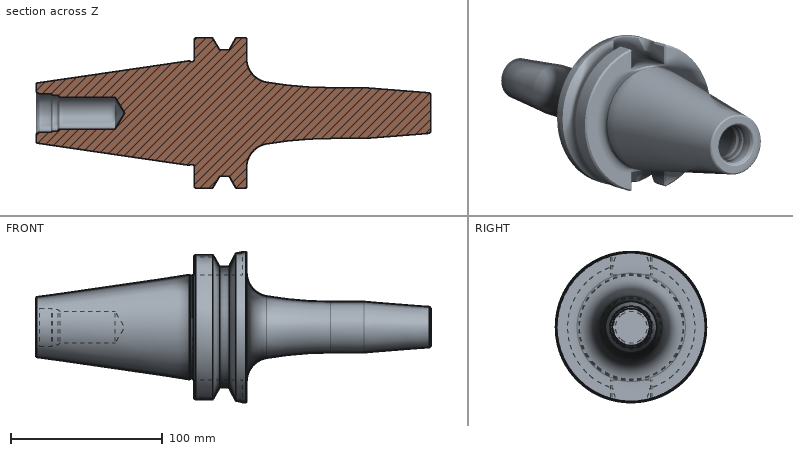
import cadquery as cq
import math

LENGTH = 261.8

GAUGE_X = 101.8
GAUGE_RADIUS = 34.8
TAPER_SLOPE = 7 / 24 / 2
SHANK_END_X = 101.5
SHANK_CHAMFER = 0.8
NECK_RADIUS = 34.3
NECK_FILLET = 1.0
NECK_STEP = 0.8

FLANGE_RADIUS = 50.0
FLANGE_FRONT_X = 104.7
FLANGE_BACK_X = 139.8
FLANGE_CHAMFER = 1.0
FLANGE_BACK_CHAMFER = 0.8
GROOVE_FLOOR_RADIUS = 42.1
GROOVE_START_X = 117.0
GROOVE_FLOOR_START_X = 121.7
GROOVE_FLOOR_END_X = 128.0
GROOVE_END_X = 132.5

ROOT_RADIUS = 15.5
FLARE_RADIUS = 250.0
CYLINDER_RADIUS = 17.0
CYLINDER_START_X = 195.0
CYLINDER_END_X = 217.3
TIP_RADIUS = 13.5
TIP_CHAMFER = 1.3

SLOT_WIDTH = 25.7
SLOT_FLOOR_Z = 34.8
SLOT_END_X = 136.7
SLOT_MOUTH_CHAMFER = 1.0
SLOT_RIM_CHAMFER = 1.3
SLOT_END_CHAMFER = 0.8

MOUTH_RADIUS = 14.5
MOUTH_STEP_RADIUS = 13.5
MOUTH_STEP_DEPTH = 0.5
MOUTH_DEPTH = 2.4
COUNTERBORE_RADIUS = 12.5
COUNTERBORE_DEPTH = 10.2
RELIEF_RADIUS = 11.8
RELIEF_START_X = 11.0
RELIEF_END_X = 14.5
THREAD_RADIUS = 10.5
THREAD_START_X = 15.7
THREAD_DEPTH = 52.4
DRILL_POINT_ANGLE = 118


def taper_radius(x):
    return GAUGE_RADIUS + (x - GAUGE_X) * TAPER_SLOPE


def revolve_about_x(profile):
    return profile.close().revolve(360, (0, 0, 0), (1, 0, 0))


def arc_point(center, radius, angle):
    return (center[0] + radius * math.cos(angle), center[1] + radius * math.sin(angle))


def make_body():
    down = -math.pi / 2
    flare_center = (CYLINDER_START_X, CYLINDER_RADIUS + FLARE_RADIUS)
    center_distance = FLARE_RADIUS - ROOT_RADIUS
    flare_sweep = math.asin((CYLINDER_START_X - FLANGE_BACK_X - ROOT_RADIUS) / center_distance)
    join_angle = down - flare_sweep
    root_center = arc_point(flare_center, center_distance, join_angle)
    root_middle = arc_point(root_center, ROOT_RADIUS, (join_angle - math.pi) / 2)
    join = arc_point(flare_center, FLARE_RADIUS, join_angle)
    flare_middle = arc_point(flare_center, FLARE_RADIUS, down - flare_sweep / 2)

    profile = (
        cq.Workplane("XY")
        .moveTo(0, 0)
        .lineTo(0, taper_radius(0) - SHANK_CHAMFER)
        .lineTo(SHANK_CHAMFER, taper_radius(SHANK_CHAMFER))
        .lineTo(SHANK_END_X, taper_radius(SHANK_END_X))
        .lineTo(SHANK_END_X + NECK_STEP, NECK_RADIUS)
        .lineTo(FLANGE_FRONT_X - NECK_FILLET, NECK_RADIUS)
        .tangentArcPoint((NECK_FILLET, NECK_FILLET))
        .lineTo(FLANGE_FRONT_X, FLANGE_RADIUS - FLANGE_CHAMFER)
        .lineTo(FLANGE_FRONT_X + FLANGE_CHAMFER, FLANGE_RADIUS)
        .lineTo(GROOVE_START_X, FLANGE_RADIUS)
        .lineTo(GROOVE_FLOOR_START_X, GROOVE_FLOOR_RADIUS)
        .lineTo(GROOVE_FLOOR_END_X, GROOVE_FLOOR_RADIUS)
        .lineTo(GROOVE_END_X, FLANGE_RADIUS)
        .lineTo(FLANGE_BACK_X - FLANGE_BACK_CHAMFER, FLANGE_RADIUS)
        .lineTo(FLANGE_BACK_X, FLANGE_RADIUS - FLANGE_BACK_CHAMFER)
        .lineTo(FLANGE_BACK_X, root_center[1])
        .threePointArc(root_middle, join)
        .threePointArc(flare_middle, (CYLINDER_START_X, CYLINDER_RADIUS))
        .lineTo(CYLINDER_END_X, CYLINDER_RADIUS)
        .lineTo(LENGTH - TIP_CHAMFER, TIP_RADIUS)
        .lineTo(LENGTH, TIP_RADIUS - TIP_CHAMFER)
        .lineTo(LENGTH, 0)
    )
    return revolve_about_x(profile)


def make_bore():
    point_depth = THREAD_RADIUS / math.tan(math.radians(DRILL_POINT_ANGLE / 2))
    profile = (
        cq.Workplane("XY")
        .moveTo(0, 0)
        .lineTo(0, MOUTH_RADIUS)
        .lineTo(MOUTH_STEP_DEPTH, MOUTH_STEP_RADIUS)
        .lineTo(MOUTH_DEPTH, COUNTERBORE_RADIUS)
        .lineTo(COUNTERBORE_DEPTH, COUNTERBORE_RADIUS)
        .lineTo(RELIEF_START_X, RELIEF_RADIUS)
        .lineTo(RELIEF_END_X, RELIEF_RADIUS)
        .lineTo(THREAD_START_X, THREAD_RADIUS)
        .lineTo(THREAD_DEPTH, THREAD_RADIUS)
        .lineTo(THREAD_DEPTH + point_depth, 0)
    )
    return revolve_about_x(profile)


def make_slot():
    half_width = SLOT_WIDTH / 2
    arc_start_x = SLOT_END_X - half_width
    mouth_half = half_width + SLOT_MOUTH_CHAMFER
    slot = (
        cq.Workplane("XY")
        .workplane(offset=SLOT_FLOOR_Z)
        .moveTo(FLANGE_FRONT_X, -mouth_half)
        .lineTo(FLANGE_FRONT_X + SLOT_MOUTH_CHAMFER, -half_width)
        .lineTo(arc_start_x, -half_width)
        .threePointArc((SLOT_END_X, 0), (arc_start_x, half_width))
        .lineTo(FLANGE_FRONT_X + SLOT_MOUTH_CHAMFER, half_width)
        .lineTo(FLANGE_FRONT_X, mouth_half)
        .close()
        .extrude(FLANGE_RADIUS - SLOT_FLOOR_Z)
    )
    rim_half = half_width + SLOT_RIM_CHAMFER
    rim_z = math.sqrt(FLANGE_RADIUS**2 - rim_half**2)
    land_chamfer = (
        cq.Workplane("YZ")
        .workplane(offset=FLANGE_FRONT_X)
        .moveTo(-half_width, rim_z - SLOT_RIM_CHAMFER)
        .lineTo(half_width, rim_z - SLOT_RIM_CHAMFER)
        .lineTo(rim_half, rim_z)
        .lineTo(rim_half, FLANGE_RADIUS)
        .lineTo(-rim_half, FLANGE_RADIUS)
        .lineTo(-rim_half, rim_z)
        .close()
        .extrude(GROOVE_FLOOR_START_X - FLANGE_FRONT_X)
    )
    return slot.union(land_chamfer)


top_slot = make_slot()
bottom_slot = top_slot.mirror("XY")
body = make_body().cut(make_bore()).cut(top_slot).cut(bottom_slot)

for side in (1, -1):
    slot_end = (SLOT_END_X, 0, side * FLANGE_RADIUS)
    body = body.edges(cq.selectors.NearestToPointSelector(slot_end)).chamfer(SLOT_END_CHAMFER)

result = body